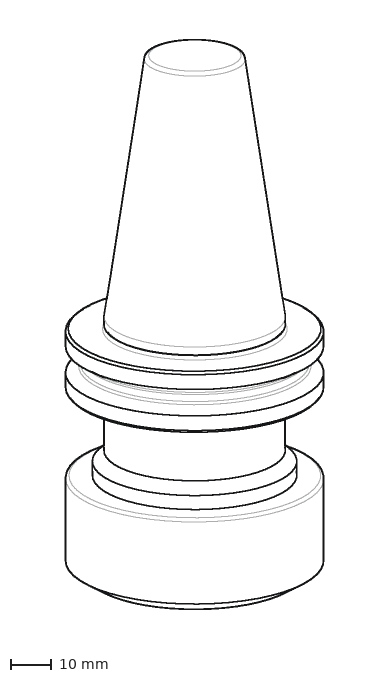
import cadquery as cq
import math

TOTAL_LENGTH = 135.2
NUT_TOP = 25.5
COLLAR_SHOULDER = 29.2
FLANGE_BOTTOM = 47.9
FLANGE_TOP = 63.8
TAPER_BASE = 67.1

OUTER_DIAMETER = 63.5
NUT_FACE_DIAMETER = 53.3
COLLAR_DIAMETER = 50.3
NECK_DIAMETER = 44.6
RELIEF_DIAMETER = 43.8
GROOVE_DIAMETER = 56.4
TAPER_TIP_DIAMETER = 24.6

NUT_CHAMFER_HEIGHT = 3.2
NUT_TOP_FILLET = 0.8
FLANGE_CHAMFER = 0.7
FLANGE_FILLET = 0.8
RELIEF_CHAMFER_HEIGHT = 0.3
TIP_FILLET = 1.1

GROOVE_CENTRE = (FLANGE_BOTTOM + FLANGE_TOP) / 2
GROOVE_MOUTH = 6.9
GROOVE_WALL_ANGLE = 30
GROOVE_FILLET = 0.8

outer_radius = OUTER_DIAMETER / 2
collar_radius = COLLAR_DIAMETER / 2
neck_radius = NECK_DIAMETER / 2
relief_radius = RELIEF_DIAMETER / 2


def revolve_outline(outline):
    """Revolve an open (radius, height) wire, closed back to its start, around the Z axis."""
    return outline.close().revolve(360, (0, 0), (0, 1))


def revolve_profile(points):
    """Revolve a polygon of (radius, height) points around the Z axis."""
    return revolve_outline(cq.Workplane("XZ").polyline(points))


def make_nut():
    """Clamping nut with a conical lower edge and a rounded upper edge."""
    nut = revolve_profile([
        (0, 0),
        (NUT_FACE_DIAMETER / 2, 0),
        (outer_radius, NUT_CHAMFER_HEIGHT),
        (outer_radius, NUT_TOP),
        (0, NUT_TOP),
    ])
    return nut.faces(">Z").edges().fillet(NUT_TOP_FILLET)


def make_neck():
    """Collar and neck, with a concave fillet where the neck meets the flange."""
    neck_bottom = COLLAR_SHOULDER + collar_radius - neck_radius
    outline = (
        cq.Workplane("XZ")
        .moveTo(0, NUT_TOP)
        .lineTo(collar_radius, NUT_TOP)
        .lineTo(collar_radius, COLLAR_SHOULDER)
        .lineTo(neck_radius, neck_bottom)
        .lineTo(neck_radius, FLANGE_BOTTOM - FLANGE_FILLET)
        .radiusArc((neck_radius + FLANGE_FILLET, FLANGE_BOTTOM), FLANGE_FILLET)
        .lineTo(0, FLANGE_BOTTOM)
    )
    return revolve_outline(outline)


def make_flange():
    """Chamfered gripper flange with a V-groove around its rim."""
    floor_radius = GROOVE_DIAMETER / 2
    wall_height = (outer_radius - floor_radius) * math.tan(math.radians(GROOVE_WALL_ANGLE))
    half_mouth = GROOVE_MOUTH / 2
    half_floor = half_mouth - wall_height
    height = FLANGE_TOP - FLANGE_BOTTOM
    flange = (
        cq.Workplane("XY", origin=(0, 0, FLANGE_BOTTOM))
        .circle(outer_radius)
        .extrude(height)
        .faces("<Z or >Z").edges()
        .chamfer(FLANGE_CHAMFER)
    )
    groove = revolve_profile([
        (outer_radius, GROOVE_CENTRE - half_mouth),
        (floor_radius, GROOVE_CENTRE - half_floor),
        (floor_radius, GROOVE_CENTRE + half_floor),
        (outer_radius, GROOVE_CENTRE + half_mouth),
    ])
    floor_edges = cq.selectors.RadiusNthSelector(0)
    groove = groove.edges("%CIRCLE").edges(floor_edges).fillet(GROOVE_FILLET)
    return flange.cut(groove)


def make_shank():
    """Tapered shank on a short cylinder, with a filleted relief above the flange."""
    relief_top = FLANGE_TOP + FLANGE_FILLET
    outline = (
        cq.Workplane("XZ")
        .moveTo(0, FLANGE_TOP)
        .lineTo(relief_radius + FLANGE_FILLET, FLANGE_TOP)
        .radiusArc((relief_radius, relief_top), FLANGE_FILLET)
        .lineTo(neck_radius, relief_top + RELIEF_CHAMFER_HEIGHT)
        .lineTo(neck_radius, TAPER_BASE)
        .lineTo(TAPER_TIP_DIAMETER / 2, TOTAL_LENGTH)
        .lineTo(0, TOTAL_LENGTH)
    )
    shank = revolve_outline(outline)
    return shank.faces(">Z").edges().fillet(TIP_FILLET)


result = make_nut().union(make_neck()).union(make_flange()).union(make_shank())